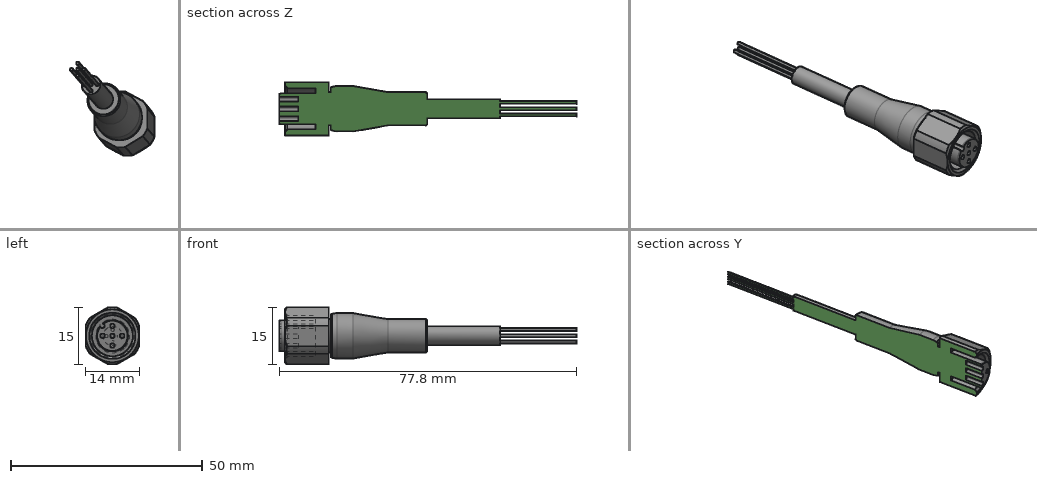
import cadquery as cq
import math

nut_start = 1.5
nut_end = 13.0
grip_start = 13.45
grip_nose_end = 13.9
grip_full = 15.05
taper_start = 19.25
taper_end = 28.4
grip_end = 38.8
cable_end = 57.8
wire_end = 77.8

nut_sides = 6
nut_flats = 14.0
nut_corner_diameter = 15.0
nut_chamfer_length = 0.5
nut_chamfer_height = 0.6
thread_diameter = 10.7
thread_lead_in = 0.7
bore_depth = 8.0

plug_radius = 4.1
plug_chamfer_length = 0.5
plug_chamfer_height = 0.15
socket_diameter = 1.2
socket_depth = 5.0
contact_spacing = 2.55
keyway_radius = 0.6
keyway_offset = 3.7
keyway_angle = 45.0

neck_radius = 4.4
grip_radius = 6.0
grip_face_radius = 5.55
grip_nose_radius = 5.8
sleeve_radius = 4.4
sleeve_chamfer = 0.4
cable_radius = 2.5
wire_diameter = 0.85
wire_spacing = 1.63


def rod(start, end, radius, y=0.0, z=0.0):
    """Cylinder along X between two stations."""
    return cq.Workplane("YZ", origin=(start, y, z)).circle(radius).extrude(end - start)


def turned(profile):
    """Solid of revolution about X from (x, radius) points."""
    return cq.Workplane("XY").polyline(profile).close().revolve(360, (0, 0, 0), (1, 0, 0))


def cross_positions(spacing):
    """Centre and four surrounding (y, z) positions."""
    return [(0, 0), (spacing, 0), (-spacing, 0), (0, spacing), (0, -spacing)]


def make_nut():
    """Hexagon nut with flats facing Y, rounded corners and a blind bore with a lead-in cone."""
    half_side_angle = 180 / nut_sides
    corner_radius = nut_corner_diameter / 2
    hexagon = (
        cq.Workplane("YZ", origin=(nut_start, 0, 0))
        .transformed(rotate=(0, 0, half_side_angle))
        .polygon(nut_sides, nut_flats / math.cos(math.radians(half_side_angle)))
        .extrude(nut_end - nut_start)
    )
    envelope = turned([
        (nut_start, 0),
        (nut_start, corner_radius - nut_chamfer_height),
        (nut_start + nut_chamfer_length, corner_radius),
        (nut_end, corner_radius),
        (nut_end, 0),
    ])
    bore_radius = thread_diameter / 2
    bore = turned([
        (nut_start, 0),
        (nut_start, bore_radius + thread_lead_in),
        (nut_start + thread_lead_in, bore_radius),
        (nut_start + bore_depth, bore_radius),
        (nut_start + bore_depth, 0),
    ])
    return hexagon.intersect(envelope).cut(bore)


def make_plug():
    """Plug insert with five blind sockets and an open keyway along its edge."""
    plug_end = nut_start + bore_depth
    plug = turned([
        (0, 0),
        (0, plug_radius - plug_chamfer_height),
        (plug_chamfer_length, plug_radius),
        (plug_end, plug_radius),
        (plug_end, 0),
    ])
    for y, z in cross_positions(contact_spacing):
        plug = plug.cut(rod(0, socket_depth, socket_diameter / 2, y, z))
    keyway_y = keyway_offset * math.cos(math.radians(keyway_angle))
    keyway_z = keyway_offset * math.sin(math.radians(keyway_angle))
    return plug.cut(rod(0, plug_end, keyway_radius, keyway_y, keyway_z))


def make_grip():
    """Neck, rounded nose, tapered grip and straight sleeve."""
    return turned([
        (nut_end, 0),
        (nut_end, neck_radius),
        (grip_start, neck_radius),
        (grip_start, grip_face_radius),
        (grip_nose_end, grip_nose_radius),
        (grip_full, grip_radius),
        (taper_start, grip_radius),
        (taper_end, sleeve_radius),
        (grip_end - sleeve_chamfer, sleeve_radius),
        (grip_end, sleeve_radius - sleeve_chamfer),
        (grip_end, 0),
    ])


def make_cable():
    """Cable jacket with five bare wires leaving its end."""
    cable = rod(grip_end, cable_end, cable_radius)
    for y, z in cross_positions(wire_spacing):
        cable = cable.union(rod(cable_end, wire_end, wire_diameter / 2, y, z))
    return cable


result = make_nut().union(make_plug()).union(make_grip()).union(make_cable())